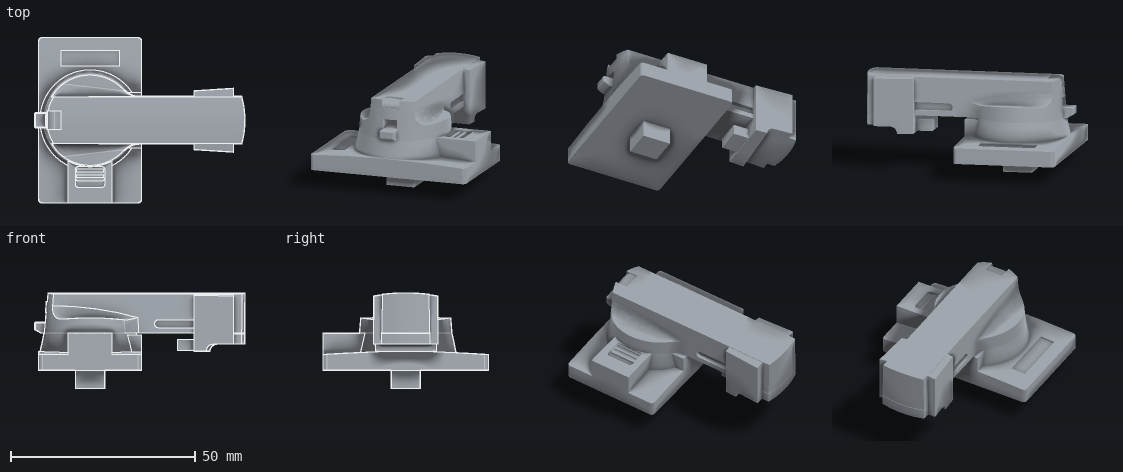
import cadquery as cq
import math


cut_margin = 1.15

plate_width = 28.0
plate_length = 44.9
plate_edge_height = 4.3
plate_crown_height = 5.1
plate_corner_radius = 1.05

shaft_side = 8.0
shaft_length = 5.0

tongue_width = 12.0
knob_base_height = 10.1
stop_block_start = 5.7
stop_block_width = 15.15
stop_block_height = 9.6

latch_width = 8.0
latch_front = -18.25
latch_back = -12.6
latch_corner_radius = 0.85
latch_depth = 0.85
pad_front = -16.45
pad_recess = 0.3
groove_length = 7.25
groove_width = 0.8
groove_depth = 0.3
groove_centres = (-13.6, -15.2)

label_width = 15.9
label_length = 4.2
label_centre_y = 16.8
label_depth = 0.5

collar_bottom_radius = 13.8
knob_radius = 12.6
knob_top_radius = 11.7
dome_height = 14.25
dome_radius = 81.15
neck_bottom_end = 13.2
neck_top_end = 12.65

arm_half_width = 6.5
arm_top_half_width = 6.3
arm_height = 21.05
crown_radius = 52.3
arm_side_end = 41.15
arm_tip = 42.05

scoop_mid_radius = 2.66
scoop_taper = 0.12

notch_width = 5.15
notch_end = -7.95
notch_flat_start = -9.6
notch_floor = 20.7
notch_round_bottom = 19.2
notch_ledge = 18.65
notch_ledge_start = -11.6

pointer_width = 4.1
pointer_tip = -15.1
pointer_top = 13.1
pointer_nose_bottom = 11.1
pointer_chin = -13.4
pointer_chamfer = 0.25
window_top = 15.65
window_back = -8.0

slot_start = 17.5
slot_bottom = 11.55
slot_height = 2.2
slot_depth = 1.25

clip_start = 28.2
clip_end = 39.0
clip_start_half_width = 8.0
clip_end_half_width = 8.7
clip_crown_drop = 0.1
clip_bottom = 5.15
clip_tail_bottom = 7.1
clip_tail_gap = 0.2
clip_foot_end = 32.6
catch_start = 23.7
catch_half_width = 3.55
catch_bottom = 5.4
catch_top = 8.4


def box(x0, x1, y0, y1, z0, z1):
    return cq.Workplane("XY").box(x1 - x0, y1 - y0, z1 - z0, centered=False).translate((x0, y0, z0))


def under_crown(x0, x1, half_width, top, radius, bottom=0.0, foot_half_width=None):
    """Bar along X whose top face is an arc across Y; a foot width other than the top's drafts its sides."""
    foot = foot_half_width or half_width
    side_top = top - radius + math.sqrt(radius**2 - half_width**2)
    return (
        cq.Workplane("YZ", origin=(x0, 0, 0))
        .moveTo(-foot, bottom)
        .lineTo(foot, bottom)
        .lineTo(half_width, side_top)
        .threePointArc((0, top), (-half_width, side_top))
        .close()
        .extrude(x1 - x0)
    )


def plate():
    half_length = plate_length / 2
    rise = plate_crown_height - plate_edge_height
    bow_radius = (half_length**2 + rise**2) / (2 * rise)
    half_width = plate_width / 2
    bowed = under_crown(-half_width, half_width, half_length, plate_crown_height, bow_radius)
    label = box(
        -label_width / 2, label_width / 2,
        label_centre_y - label_length / 2, label_centre_y + label_length / 2,
        0, plate_crown_height,
    )
    sunken = bowed.translate((0, 0, -label_depth))
    tongue = box(-tongue_width / 2, tongue_width / 2, -half_length, 0, 0, knob_base_height)
    stop_block = box(
        stop_block_start, half_width, -stop_block_width / 2, stop_block_width / 2, 0, stop_block_height
    )
    shaft = cq.Workplane("XY").rect(shaft_side, shaft_side).extrude(-shaft_length)
    return (
        bowed.edges("|Z").fillet(plate_corner_radius)
        .cut(label.cut(sunken))
        .union(tongue.cut(latch_pocket()))
        .union(stop_block)
        .union(shaft)
    )


def latch_block(front, bottom, top):
    block = box(-latch_width / 2, latch_width / 2, front, latch_back, bottom, top)
    return block.edges("|Z").fillet(latch_corner_radius)


def latch_pocket():
    floor = knob_base_height - latch_depth
    pad_top = knob_base_height - pad_recess
    pad = latch_block(pad_front, floor, pad_top)
    for y in groove_centres:
        groove = cq.Workplane("XY", origin=(0, y, pad_top)).rect(groove_length, groove_width)
        pad = pad.cut(groove.extrude(-groove_depth))
    return latch_block(latch_front, floor, knob_base_height).cut(pad)


def collar():
    return (
        cq.Workplane("XZ")
        .moveTo(0, 0)
        .lineTo(collar_bottom_radius, 0)
        .lineTo(collar_bottom_radius, plate_edge_height)
        .lineTo(knob_radius, knob_base_height)
        .lineTo(0, knob_base_height)
        .close()
        .revolve(360, (0, 0), (0, 1))
    )


def knob_outline(start, radius, half_width, neck_end):
    """Knob circle whose rim flows into the arm sides through concave neck arcs."""
    neck_radius = (neck_end**2 + half_width**2 - radius**2) / (2 * (radius - half_width))
    neck_y = half_width + neck_radius
    neck_angle = math.atan2(neck_y, neck_end)
    touch = (radius * math.cos(neck_angle), radius * math.sin(neck_angle))
    mid_angle = (neck_angle + math.pi / 2) / 2
    neck_mid = (neck_end - neck_radius * math.cos(mid_angle), neck_y - neck_radius * math.sin(mid_angle))
    return (
        start.moveTo(neck_end, half_width)
        .threePointArc(neck_mid, touch)
        .threePointArc((-radius, 0), (touch[0], -touch[1]))
        .threePointArc((neck_mid[0], -neck_mid[1]), (neck_end, -half_width))
        .close()
    )


def knob_envelope():
    """Tapered column that bounds the knob."""
    start = cq.Workplane("XY", origin=(0, 0, knob_base_height))
    lower = knob_outline(start, knob_radius, arm_half_width, neck_bottom_end)
    upper_plane = lower.workplane(offset=arm_height - knob_base_height)
    return knob_outline(upper_plane, knob_top_radius, arm_top_half_width, neck_top_end).loft(ruled=True)


def knob_body():
    """Knob below its arched top face, with a concave blend rising to each arm side."""
    reach = knob_radius + cut_margin
    draft = (arm_half_width - arm_top_half_width) / (arm_height - knob_base_height)
    sections = cq.Workplane("YZ", origin=(-neck_bottom_end, 0, 0))
    x = -neck_bottom_end
    for step in (0, neck_bottom_end, neck_bottom_end):
        x += step
        radius = scoop_mid_radius - scoop_taper * x
        base = dome_height - dome_radius + math.sqrt(dome_radius**2 - x**2)
        top = base + radius
        side = arm_half_width - draft * (top - knob_base_height)
        bend = radius * (1 - math.sqrt(0.5))
        sections = (
            sections.workplane(offset=step)
            .moveTo(-reach, knob_base_height)
            .lineTo(reach, knob_base_height)
            .lineTo(reach, base)
            .lineTo(side + radius, base)
            .threePointArc((side + bend, base + bend), (side, top))
            .lineTo(-side, top)
            .threePointArc((-side - bend, base + bend), (-side - radius, base))
            .lineTo(-reach, base)
            .close()
        )
    return sections.loft()


def arm_plan(z0, z1):
    """Arm outline ahead of the knob axis, ending in a shallow arc."""
    return (
        cq.Workplane("XY", origin=(0, 0, z0))
        .moveTo(0, -arm_half_width)
        .lineTo(arm_side_end, -arm_half_width)
        .threePointArc((arm_tip, 0), (arm_side_end, arm_half_width))
        .lineTo(0, arm_half_width)
        .close()
        .extrude(z1 - z0)
    )


def arm_slot():
    """Slot in the -Y side of the arm, rounded at its start and running into the clip."""
    radius = slot_height / 2
    return (
        cq.Workplane("XZ", origin=(0, -arm_half_width + slot_depth, 0))
        .moveTo(clip_start, slot_bottom)
        .lineTo(slot_start + radius, slot_bottom)
        .threePointArc(
            (slot_start, slot_bottom + radius), (slot_start + radius, slot_bottom + slot_height)
        )
        .lineTo(clip_start, slot_bottom + slot_height)
        .close()
        .extrude(slot_depth)
    )


def handle():
    bar = under_crown(
        -knob_radius, arm_tip, arm_top_half_width, arm_height, crown_radius, knob_base_height, arm_half_width
    )
    head = knob_body().union(bar).intersect(knob_envelope())
    arm = bar.intersect(arm_plan(knob_base_height, arm_height + cut_margin))
    slot = arm_slot()
    arm = arm.cut(slot).cut(slot.mirror("XZ"))
    return head.union(arm)


def thumb_notch():
    arc_x = notch_flat_start - notch_ledge_start
    arc_z = notch_floor - notch_round_bottom
    arc_mid = (notch_flat_start - arc_x * math.sqrt(0.5), notch_round_bottom + arc_z * math.sqrt(0.5))
    return (
        cq.Workplane("XZ", origin=(0, notch_width / 2, 0))
        .moveTo(notch_end, arm_height)
        .lineTo(notch_end, notch_floor)
        .lineTo(notch_flat_start, notch_floor)
        .threePointArc(arc_mid, (notch_ledge_start, notch_round_bottom))
        .lineTo(notch_ledge_start, notch_ledge)
        .lineTo(-knob_radius, notch_ledge)
        .lineTo(-knob_radius, arm_height)
        .close()
        .extrude(notch_width)
    )


def pointer_window():
    half_width = pointer_width / 2
    return box(-knob_radius, window_back, -half_width, half_width, knob_base_height, window_top)


def pointer():
    return (
        cq.Workplane("XZ", origin=(0, pointer_width / 2, 0))
        .moveTo(window_back, knob_base_height)
        .lineTo(window_back, pointer_top)
        .lineTo(pointer_tip, pointer_top)
        .lineTo(pointer_tip, pointer_nose_bottom)
        .lineTo(pointer_chin, knob_base_height)
        .close()
        .extrude(pointer_width)
        .faces("<X or >Z")
        .edges("|Z or |X or (<X and >Z)")
        .chamfer(pointer_chamfer)
    )


def clip():
    """Clip body widening towards the free end, with a foot, a tail and a catch."""
    plan = (
        cq.Workplane("XY")
        .moveTo(clip_start, -clip_start_half_width)
        .lineTo(clip_end, -clip_end_half_width)
        .lineTo(clip_end, clip_end_half_width)
        .lineTo(clip_start, clip_start_half_width)
        .close()
        .extrude(arm_height)
    )
    crowned = under_crown(
        clip_start, clip_end, clip_end_half_width, arm_height - clip_crown_drop, crown_radius, clip_bottom
    )
    foot_radius = clip_tail_bottom - clip_bottom
    foot_bend = foot_radius * (1 - math.sqrt(0.5))
    flare = math.degrees(math.atan2(clip_end_half_width - clip_start_half_width, clip_end - clip_start))
    relief = (
        cq.Workplane("XZ", origin=(0, clip_end_half_width + cut_margin, 0))
        .moveTo(clip_foot_end, clip_bottom)
        .threePointArc(
            (clip_foot_end + foot_bend, clip_tail_bottom - foot_bend),
            (clip_foot_end + foot_radius, clip_tail_bottom),
        )
        .lineTo(arm_tip, clip_tail_bottom)
        .lineTo(arm_tip, clip_bottom)
        .close()
        .extrude(2 * clip_end_half_width + 2 * cut_margin)
        .rotate(
            (clip_foot_end, clip_end_half_width, 0), (clip_foot_end, clip_end_half_width, 1), -flare
        )
    )
    tail_top = knob_base_height - clip_tail_gap
    tail = arm_plan(clip_tail_bottom, tail_top).intersect(
        box(clip_end, arm_tip, -arm_half_width, arm_half_width, clip_tail_bottom, tail_top)
    )
    catch = box(catch_start, clip_start, -catch_half_width, catch_half_width, catch_bottom, catch_top)
    return plan.intersect(crowned).cut(relief).union(tail).union(catch)


result = (
    plate()
    .union(collar())
    .union(handle().cut(thumb_notch()).cut(pointer_window()))
    .union(pointer())
    .union(clip())
)